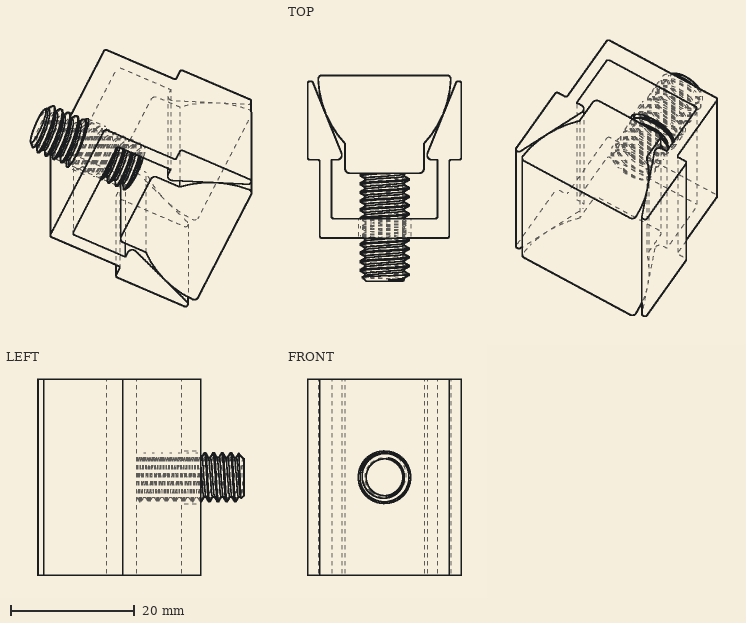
import cadquery as cq
import math

HEIGHT = 31.75

CHANNEL_TOP = 25.4
CHANNEL_HALF_WIDTH = 10.5
WALL = 1.95
FLOOR = 3.17
JAW_HALF_WIDTH = 24.9 / 2
JAW_BASE = 12.67
JAW_ANGLE = 22.1
JAW_EDGE_RADIUS = 0.8
EDGE_RADIUS = 0.37
STEP_RADIUS = 0.27
SCREW_HOLE_DIAMETER = 8.5

WEDGE_BOTTOM = 10.5
WEDGE_TOP = 26.37
WEDGE_SHOULDER = 15.3
WEDGE_HALF_WIDTH = 10.77
STEM_HALF_WIDTH = 6.4
STEM_EDGE_RADIUS = 0.77
WEDGE_EDGE_RADIUS = 0.67
FLANK_DROP = WEDGE_TOP - WEDGE_SHOULDER
FLANK_INSET = WEDGE_HALF_WIDTH - STEM_HALF_WIDTH
FLANK_RADIUS = (FLANK_DROP ** 2 + FLANK_INSET ** 2) / (2 * FLANK_INSET)
FLANK_CENTRE_X = WEDGE_HALF_WIDTH - FLANK_RADIUS

SCREW_DIAMETER = 7.95
SCREW_END = -6.97
END_CHAMFER = 1.0
PITCH = 1.4
GROOVE_AT_X = 1.8
CREST_FLAT = PITCH / 8
ROOT_FLAT = PITCH / 4
FLANK_SLOPE = math.tan(math.radians(30))
THREAD_DEPTH = (PITCH - CREST_FLAT - ROOT_FLAT) / 2 / FLANK_SLOPE
CUT_MARGIN = 0.07


def mirrored(points):
    """The given points followed by their mirror images about X = 0, in reverse order."""
    return points + [(-x, y) for x, y in reversed(points)]


def extrude_height(outline):
    """Extrude a closed X-Y outline over the full height, centred on Z = 0."""
    return outline.extrude(HEIGHT / 2, both=True)


def fillet_at(body, points, radius):
    """Round the edges parallel to Z that pass through the given X-Y points and their mirrors."""
    for x, y in mirrored(points):
        body = body.edges(cq.selectors.NearestToPointSelector((x, y, 0))).fillet(radius)
    return body


def jaw_half_gap(y):
    """X of the +X jaw face at height y; the face is tangent to the wedge flank."""
    angle = math.radians(JAW_ANGLE)
    return FLANK_CENTRE_X + (FLANK_RADIUS + (y - WEDGE_TOP) * math.sin(angle)) / math.cos(angle)


def make_channel():
    inner_half_width = CHANNEL_HALF_WIDTH - WALL
    floor_corner = (CHANNEL_HALF_WIDTH, 0)
    wall_top = (CHANNEL_HALF_WIDTH, JAW_BASE)
    jaw_outer_base = (JAW_HALF_WIDTH, JAW_BASE)
    jaw_outer_tip = (JAW_HALF_WIDTH, CHANNEL_TOP)
    jaw_inner_tip = (jaw_half_gap(CHANNEL_TOP), CHANNEL_TOP)
    jaw_inner_base = (jaw_half_gap(JAW_BASE), JAW_BASE)
    inner_wall_top = (inner_half_width, JAW_BASE)
    inner_floor_corner = (inner_half_width, FLOOR)
    half_outline = [
        floor_corner, wall_top, jaw_outer_base, jaw_outer_tip,
        jaw_inner_tip, jaw_inner_base, inner_wall_top, inner_floor_corner,
    ]
    channel = extrude_height(cq.Workplane("XY").polyline(mirrored(half_outline)).close())
    channel = fillet_at(channel, [jaw_inner_base], JAW_EDGE_RADIUS)
    channel = fillet_at(channel, [wall_top], STEP_RADIUS)
    rounded_edges = [floor_corner, inner_floor_corner, jaw_outer_base, jaw_outer_tip, jaw_inner_tip]
    channel = fillet_at(channel, rounded_edges, EDGE_RADIUS)
    hole = cq.Workplane("XZ").circle(SCREW_HOLE_DIAMETER / 2).extrude(-FLOOR)
    return channel.cut(hole)


def make_wedge():
    half_angle = math.asin(FLANK_DROP / FLANK_RADIUS) / 2
    middle_x = FLANK_CENTRE_X + FLANK_RADIUS * math.cos(half_angle)
    middle_y = WEDGE_TOP - FLANK_RADIUS * math.sin(half_angle)
    outline = (
        cq.Workplane("XY")
        .moveTo(-STEM_HALF_WIDTH, WEDGE_BOTTOM)
        .lineTo(STEM_HALF_WIDTH, WEDGE_BOTTOM)
        .lineTo(STEM_HALF_WIDTH, WEDGE_SHOULDER)
        .threePointArc((middle_x, middle_y), (WEDGE_HALF_WIDTH, WEDGE_TOP))
        .lineTo(-WEDGE_HALF_WIDTH, WEDGE_TOP)
        .threePointArc((-middle_x, middle_y), (-STEM_HALF_WIDTH, WEDGE_SHOULDER))
        .close()
    )
    wedge = extrude_height(outline)
    wedge = fillet_at(wedge, [(STEM_HALF_WIDTH, WEDGE_BOTTOM)], STEM_EDGE_RADIUS)
    return fillet_at(wedge, [(WEDGE_HALF_WIDTH, WEDGE_TOP)], WEDGE_EDGE_RADIUS)


def make_groove_turn():
    """Cutter for one turn of the thread groove about the Z axis, starting at Z = 0 on the +X side."""
    root_radius = SCREW_DIAMETER / 2 - THREAD_DEPTH
    outer_radius = SCREW_DIAMETER / 2 + CUT_MARGIN
    root_half = ROOT_FLAT / 2
    outer_half = root_half + (THREAD_DEPTH + CUT_MARGIN) * FLANK_SLOPE
    path = cq.Workplane(cq.Wire.makeHelix(PITCH, PITCH, root_radius))
    profile = [
        (root_radius, -root_half),
        (outer_radius, -outer_half),
        (outer_radius, outer_half),
        (root_radius, root_half),
    ]
    return cq.Workplane("XZ").polyline(profile).close().sweep(path, isFrenet=True)


def make_screw():
    screw = (
        cq.Workplane("XY", origin=(0, 0, SCREW_END))
        .circle(SCREW_DIAMETER / 2)
        .extrude(WEDGE_BOTTOM - SCREW_END)
        .faces("<Z")
        .chamfer(END_CHAMFER)
    )
    turns_below = math.ceil((GROOVE_AT_X - SCREW_END) / PITCH)
    turns_above = math.ceil((WEDGE_BOTTOM - GROOVE_AT_X) / PITCH)
    groove_turn = make_groove_turn()
    for turn in range(-turns_below, turns_above):
        screw = screw.cut(groove_turn.translate((0, 0, GROOVE_AT_X + turn * PITCH)))
    return screw.rotate((0, 0, 0), (1, 0, 0), -90)


channel = make_channel()
wedge = make_wedge()
screw = make_screw()

result = cq.Compound.makeCompound([body.solids().val() for body in (channel, wedge, screw)])